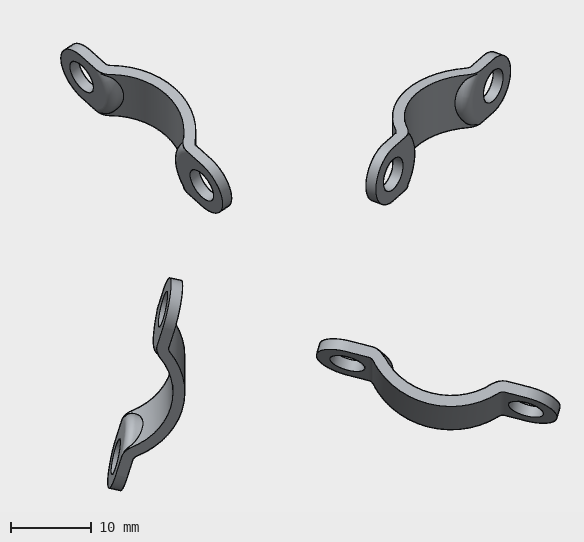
import cadquery as cq
import math

length = 31.0
width = 8.0
thickness = 1.5
crown_height = 5.5
hole_diameter = 4.5
arch_outer_radius = 10.73
bend_inner_radius = 0.85
pad_radius = 5.75
pad_edge_radius = 1.1

hole_x = (length - width) / 2
arch_inner_radius = arch_outer_radius - thickness
bend_outer_radius = bend_inner_radius + thickness
arch_center_y = crown_height - arch_outer_radius

bend_center_y = thickness + bend_inner_radius
center_distance = arch_outer_radius + bend_inner_radius
bend_rise = bend_center_y - arch_center_y
bend_x = math.sqrt(center_distance**2 - bend_rise**2)
arch_half_angle = math.asin(bend_x / center_distance)


def arch_point(radius, angle):
    """Point on an arch circle, with the angle measured from the crown."""
    return radius * math.sin(angle), arch_center_y + radius * math.cos(angle)


def bend_point(radius, angle, side):
    """Point on a bend circle, with the angle measured from the ear's normal."""
    return side * (bend_x - radius * math.sin(angle)), bend_center_y - radius * math.cos(angle)


def back_outline():
    """Open outline from the left front corner over the back to the right front corner."""
    half_bend = arch_half_angle / 2
    return (
        cq.Workplane("XY")
        .moveTo(-length / 2, 0)
        .lineTo(-length / 2, thickness)
        .lineTo(-bend_x, thickness)
        .threePointArc(bend_point(bend_inner_radius, half_bend, -1),
                       arch_point(arch_outer_radius, -arch_half_angle))
        .threePointArc((0, crown_height), arch_point(arch_outer_radius, arch_half_angle))
        .threePointArc(bend_point(bend_inner_radius, half_bend, 1), (bend_x, thickness))
        .lineTo(length / 2, thickness)
        .lineTo(length / 2, 0)
    )


def make_strap():
    """Bent strip of constant thickness."""
    half_bend = arch_half_angle / 2
    return (
        back_outline()
        .lineTo(bend_x, 0)
        .threePointArc(bend_point(bend_outer_radius, half_bend, 1),
                       arch_point(arch_inner_radius, arch_half_angle))
        .threePointArc((0, crown_height - thickness),
                       arch_point(arch_inner_radius, -arch_half_angle))
        .threePointArc(bend_point(bend_outer_radius, half_bend, -1), (-bend_x, 0))
        .close()
        .extrude(width / 2, both=True)
    )


def make_pad(center_x):
    """Round pad with a rounded front rim, centred on a screw hole."""
    return (
        cq.Workplane("XZ")
        .center(center_x, 0)
        .circle(pad_radius)
        .extrude(-crown_height)
        .faces("<Y")
        .edges()
        .fillet(pad_edge_radius)
    )


pad_limit = back_outline().close().extrude(width / 2, both=True)

result = make_strap()
for center_x in (-hole_x, hole_x):
    result = result.union(make_pad(center_x).intersect(pad_limit))

end_shape = cq.Workplane("XZ").slot2D(length, width).extrude(-crown_height)
result = result.intersect(end_shape)

holes = (
    cq.Workplane("XZ")
    .pushPoints([(-hole_x, 0), (hole_x, 0)])
    .circle(hole_diameter / 2)
    .extrude(-crown_height)
)
result = result.cut(holes)